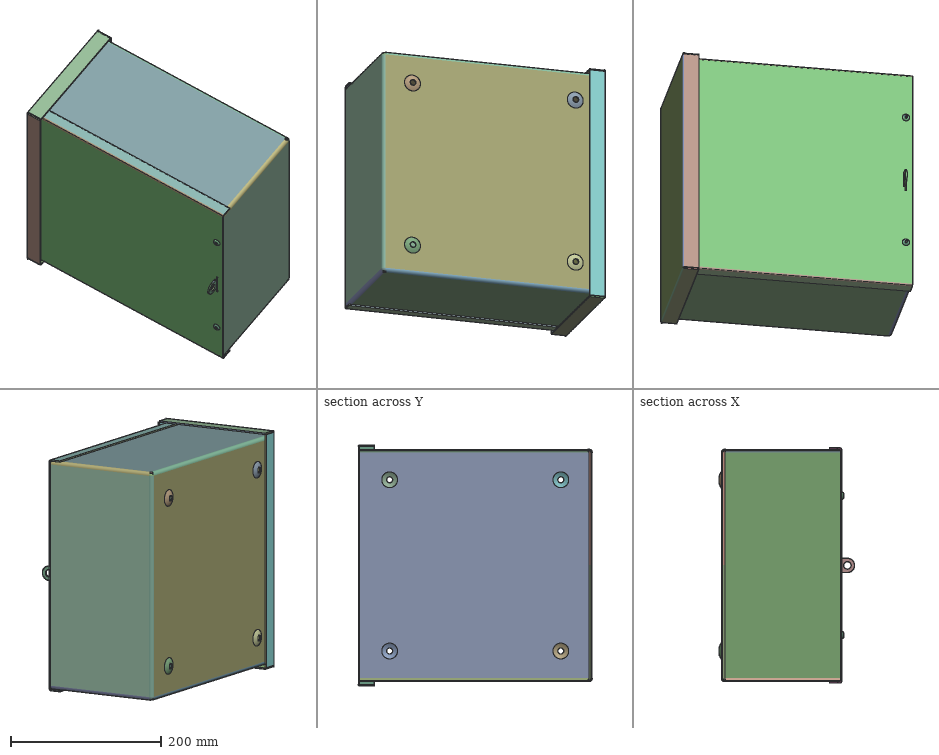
import cadquery as cq
import math


length = 312.0
height = 320.7
sheet = 2.0

cover_front = -160.7
cover_height = 313.5
flange_depth = 16.7
cover_bend = 3.0
cover_inner = cover_front + sheet

box_height = cover_height - 2 * sheet
box_start = sheet
box_bend = 4.8
relief_diameter = 4.2
relief_inset = 4.0

dome_diameter = 38.2
dome_height = 3.2
dome_hole_diameter = 7.7
dome_pitch = 228.0

cap_length = 21.8
cap_back = sheet
cap_front = -166.5
cap_bend = 2.0

screw_x = 302.7
screw_pitch = 185.7
head_diameter = 9.5
head_height = 2.5
head_round = 2.2
socket_diameter = 3.17
socket_depth = 1.3
shank_diameter = 5.8

slot_height = 30.8
slot_width = 2.2

hasp_thickness = 2.2
hasp_radius = 9.5
hasp_hole_diameter = 9.5
hasp_tip = -177.5
hasp_x = screw_x - slot_width / 2 - hasp_thickness


def block(x_range, y_range, z_size):
    """Box between two X and two Y values, centred on Z = 0."""
    x_size = x_range[1] - x_range[0]
    y_size = y_range[1] - y_range[0]
    centre = (sum(x_range) / 2, sum(y_range) / 2, 0)
    return cq.Workplane("XY").box(x_size, y_size, z_size).translate(centre)


def make_dome(x, z, radius):
    """Part of a sphere that stands out behind the back wall."""
    rim_distance = math.sqrt((dome_diameter / 2) ** 2 - (dome_hole_diameter / 2) ** 2)
    sphere_y = dome_height - rim_distance
    return cq.Workplane("XY").sphere(radius).translate((x, sphere_y, z))


def make_box():
    """Back, two sides and the +X end wall, open towards the cap and the cover."""
    bent_edges = "(>Y and |X) or (>X and >Y) or (>X and |Y)"
    outer = block((box_start, length), (cover_inner, 0), box_height)
    outer = outer.edges(bent_edges).fillet(box_bend)
    inner = block((box_start, length - sheet), (cover_inner, -sheet), box_height - 2 * sheet)
    inner = inner.edges(bent_edges).fillet(box_bend - sheet)

    behind_outside = block((0, length), (-sheet, 2 * dome_height), height)
    behind_inside = block((0, length), (-2 * sheet, 2 * dome_height), height)
    holes = cq.Workplane("XZ")
    for x_side in (-1, 1):
        for z_side in (-1, 1):
            x = length / 2 + x_side * dome_pitch / 2
            z = z_side * dome_pitch / 2
            outer = outer.union(make_dome(x, z, dome_diameter / 2).intersect(behind_outside))
            inner = inner.union(make_dome(x, z, dome_diameter / 2 - sheet).intersect(behind_inside))
            holes = holes.moveTo(x, z).circle(dome_hole_diameter / 2)
    holes = holes.extrude(2 * dome_height, both=True)

    relief = (
        cq.Workplane("XY")
        .center(length - relief_inset, -relief_inset)
        .circle(relief_diameter / 2)
        .extrude(height / 2, both=True)
    )
    return outer.cut(inner).cut(holes).cut(relief)


def make_cap():
    """Tray that closes the -X end; its four flanges stop short of each other at the corners."""
    outer = block((0, cap_length), (cap_front, cap_back), height).edges("<X").fillet(cap_bend)
    inner = block((sheet, cap_length), (cap_front + sheet, cap_back - sheet), height - 2 * sheet)
    cap = outer.cut(inner)
    for y in (cap_front, cap_back):
        for z in (-height / 2, height / 2):
            notch = cq.Workplane("XY").box(cap_length, 2 * sheet, 2 * sheet)
            cap = cap.cut(notch.translate((cap_bend + cap_length / 2, y, z)))
    return cap


def make_cover():
    """Front plate with a flange along each side, screw holes and a hasp slot."""
    flange_end = cover_front + flange_depth
    outer = block((box_start, length), (cover_front, flange_end), cover_height)
    outer = outer.edges("|X and <Y").fillet(cover_bend)
    inner = block((box_start, length), (cover_inner, flange_end), box_height)
    cover = outer.cut(inner)
    for side in (-1, 1):
        cover = cover.cut(screw_cylinder(side, shank_diameter, cover_front, cover_inner))
    slot = block(
        (screw_x - slot_width / 2, screw_x + slot_width / 2), (cover_front, cover_inner), slot_height
    )
    return cover.cut(slot)


def screw_cylinder(side, diameter, y_start, y_end):
    """Cylinder along Y on the axis of the upper (1) or lower (-1) screw."""
    return (
        cq.Workplane("XZ", origin=(screw_x, y_start, side * screw_pitch / 2))
        .circle(diameter / 2)
        .extrude(y_start - y_end)
    )


def make_screw(side):
    """Round-headed screw that fills its hole in the cover."""
    head_top = cover_front - head_height
    head = screw_cylinder(side, head_diameter, cover_front, head_top)
    head = head.faces("<Y").edges().fillet(head_round)
    shank = screw_cylinder(side, shank_diameter, cover_inner, cover_front)
    socket = screw_cylinder(side, socket_diameter, head_top + socket_depth, head_top)
    return head.union(shank).cut(socket)


def make_hasp():
    """Round-ended plate standing on the cover, with a padlock hole."""
    centre_y = hasp_tip + hasp_radius
    return (
        cq.Workplane("YZ", origin=(hasp_x, 0, 0))
        .moveTo(cover_front, hasp_radius)
        .lineTo(centre_y, hasp_radius)
        .threePointArc((hasp_tip, 0), (centre_y, -hasp_radius))
        .lineTo(cover_front, -hasp_radius)
        .close()
        .moveTo(centre_y, 0)
        .circle(hasp_hole_diameter / 2)
        .extrude(hasp_thickness)
    )


box = make_box()
cap = make_cap()
cover = make_cover()
screws = [make_screw(side) for side in (-1, 1)]
hasp = make_hasp()

result = cq.Compound.makeCompound(
    [box.val(), cap.val(), cover.val(), *[screw.val() for screw in screws], hasp.val()]
)